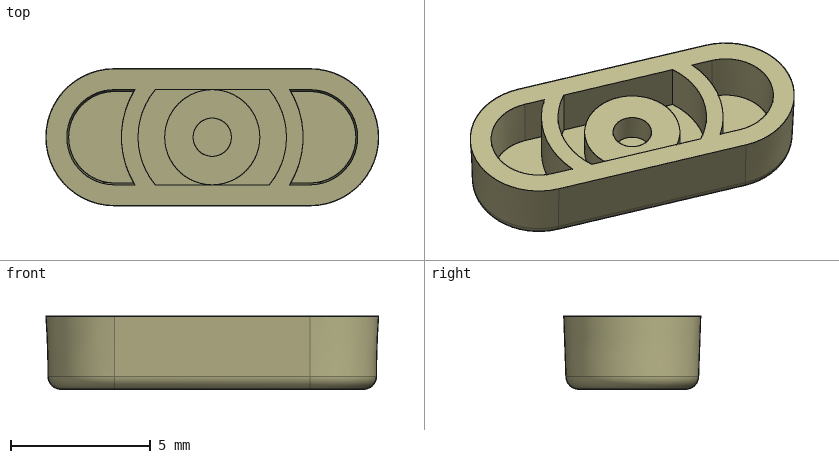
import cadquery as cq

length = 11.9
width = 4.9
height = 2.62
draft_angle = 2.0
bottom_fillet = 0.48

rim_wall = 0.75
floor_thickness = 0.7
web_inner_radius = 2.65
web_thickness = 0.6

boss_top = 1.78
hole_diameter = 1.37

pocket_length = length - 2 * rim_wall
pocket_width = width - 2 * rim_wall
pocket_depth = height - floor_thickness
web_outer_radius = web_inner_radius + web_thickness


def tapered_slot(slot_length, slot_width, depth):
    """Round-ended solid going down from the top plane, narrowing with the draft."""
    return (
        cq.Workplane("XY", origin=(0, 0, height))
        .slot2D(slot_length, slot_width)
        .extrude(-depth, taper=draft_angle)
    )


def cylinder(radius, bottom, top):
    """Upright cylinder on the part's central axis."""
    return cq.Workplane("XY", origin=(0, 0, bottom)).circle(radius).extrude(top - bottom)


body = tapered_slot(length, width, height).faces("<Z").edges().fillet(bottom_fillet)

end_pockets = tapered_slot(pocket_length, pocket_width, pocket_depth).cut(
    cylinder(web_outer_radius, 0, height)
)

centre_pocket = cylinder(web_inner_radius, floor_thickness, height).intersect(
    cq.Workplane("XY").box(length, pocket_width, 2 * height)
)

boss = cylinder(pocket_width / 2, floor_thickness, boss_top)
hole = cylinder(hole_diameter / 2, floor_thickness, height)

result = body.cut(end_pockets).cut(centre_pocket.cut(boss)).cut(hole)